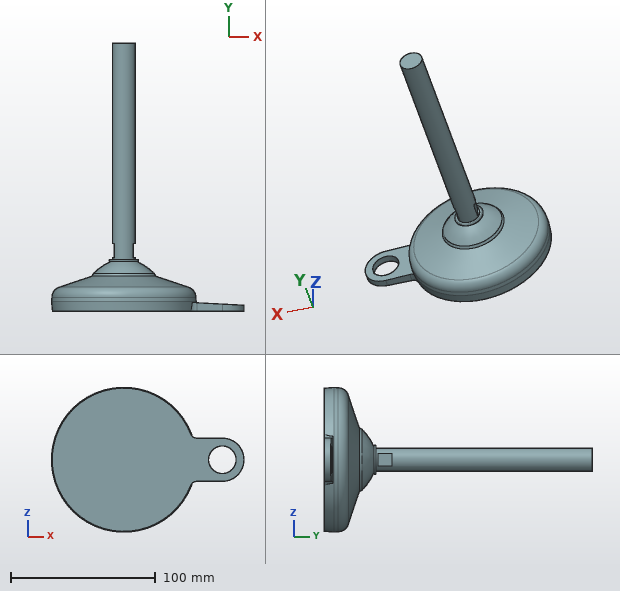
import cadquery as cq
import math


total_length = 185.0
rim_radius = 50.05
lug_reach = 82.97

base_radius = 49.4
widest_height = 6.7
shoulder_start = 9.6
shoulder_start_radius = 49.8
shoulder_radius = 7.4
cone_angle = math.radians(18.6)
collar_base_height = 24.2
collar_top_height = 26.0
collar_top_radius = 21.0
dome_bulge = 0.65
neck_bottom_height = 34.2
neck_top_height = 35.9
neck_radius = 9.5
neck_bead_radius = 10.2

lug_end_radius = 15.0
lug_hole_radius = 9.5
lug_root_fillet = 4.8
lug_tip_height = 4.3
lug_slope = math.radians(3)
lug_blank_height = 2 * widest_height

stud_radius = 8.0
flat_bottom = 37.0
flat_top = 46.6
flat_offset = 6.7


def make_foot_body():
    """Revolved foot: drafted rim, rounded shoulder, cone, collar, dome and beaded neck."""
    arc_centre_x = shoulder_start_radius - shoulder_radius

    def shoulder_point(angle):
        return (
            arc_centre_x + shoulder_radius * math.cos(angle),
            shoulder_start + shoulder_radius * math.sin(angle),
        )

    arc_span = math.pi / 2 - cone_angle
    cone_start = shoulder_point(arc_span)
    cone_rise = collar_base_height - cone_start[1]
    collar_base_radius = cone_start[0] - cone_rise / math.tan(cone_angle)

    dome_run = collar_top_radius - neck_radius
    dome_rise = neck_bottom_height - collar_top_height
    dome_chord = math.hypot(dome_run, dome_rise)
    dome_middle = (
        (collar_top_radius + neck_radius) / 2 + dome_bulge * dome_rise / dome_chord,
        (collar_top_height + neck_bottom_height) / 2 + dome_bulge * dome_run / dome_chord,
    )
    bead_middle_height = (neck_bottom_height + neck_top_height) / 2

    return (
        cq.Workplane("XY")
        .lineTo(base_radius, 0)
        .lineTo(rim_radius, widest_height)
        .lineTo(shoulder_start_radius, shoulder_start)
        .threePointArc(shoulder_point(arc_span / 2), cone_start)
        .lineTo(collar_base_radius, collar_base_height)
        .lineTo(collar_top_radius, collar_top_height)
        .threePointArc(dome_middle, (neck_radius, neck_bottom_height))
        .threePointArc((neck_bead_radius, bead_middle_height), (neck_radius, neck_top_height))
        .lineTo(0, neck_top_height)
        .close()
        .revolve(360, (0, 0), (0, 1))
    )


def make_lug():
    """Rounded lug with filleted roots and a top face that falls towards the tip."""
    end_centre_x = lug_reach - lug_end_radius
    fillet_z = lug_end_radius + lug_root_fillet
    centre_distance = base_radius + lug_root_fillet
    fillet_x = math.sqrt(centre_distance**2 - fillet_z**2)
    root_x = fillet_x * base_radius / centre_distance
    root_z = fillet_z * base_radius / centre_distance

    root_angle = math.atan2(fillet_z, fillet_x)
    middle_angle = (root_angle + math.pi + 1.5 * math.pi) / 2
    middle_x = fillet_x + lug_root_fillet * math.cos(middle_angle)
    middle_z = fillet_z + lug_root_fillet * math.sin(middle_angle)

    outline = (
        cq.Workplane("XZ")
        .lineTo(root_x, root_z)
        .threePointArc((middle_x, middle_z), (fillet_x, lug_end_radius))
        .lineTo(end_centre_x, lug_end_radius)
        .threePointArc((lug_reach, 0), (end_centre_x, -lug_end_radius))
        .lineTo(fillet_x, -lug_end_radius)
        .threePointArc((middle_x, -middle_z), (root_x, -root_z))
        .close()
        .extrude(-lug_blank_height)
    )
    axis_height = lug_tip_height + lug_reach * math.tan(lug_slope)
    side_profile = (
        cq.Workplane("XY")
        .lineTo(lug_reach, 0)
        .lineTo(lug_reach, lug_tip_height)
        .lineTo(0, axis_height)
        .close()
        .extrude(rim_radius, both=True)
    )
    hole = (
        cq.Workplane("XZ")
        .center(end_centre_x, 0)
        .circle(lug_hole_radius)
        .extrude(-lug_blank_height)
    )
    return outline.intersect(side_profile).cut(hole)


def make_foot():
    return make_foot_body().union(make_lug())


def make_stud():
    """Plain round rod with two wrench flats near its foot end."""
    stud = (
        cq.Workplane("XZ", origin=(0, neck_top_height, 0))
        .circle(stud_radius)
        .extrude(neck_top_height - total_length)
    )
    for side in (-1, 1):
        flat_cutter = cq.Workplane("XY").box(
            stud_radius, flat_top - flat_bottom, 2 * stud_radius
        )
        flat_x = side * (flat_offset + stud_radius / 2)
        stud = stud.cut(flat_cutter.translate((flat_x, (flat_bottom + flat_top) / 2, 0)))
    return stud


foot = make_foot()
stud = make_stud()

result = cq.Compound.makeCompound([*foot.solids().vals(), *stud.solids().vals()])